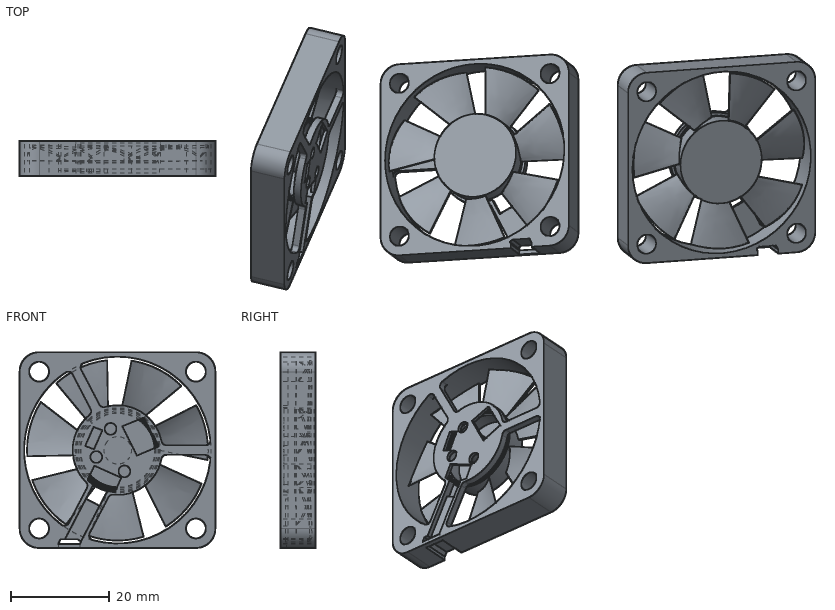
import cadquery as cq
import math


FRAME_SIDE = 40.0
FRAME_DEPTH = 7.2
CORNER_RADIUS = 4.0
MOUNT_HOLE_DIAMETER = 4.0
MOUNT_HOLE_OFFSET = 16.0
DUCT_RADIUS = 19.05

PLATE_RADIUS = 9.15
RIM_THICKNESS = 1.5
PLATE_THICKNESS = 0.7
PLATE_POCKET_RADIUS = 8.55
SPOKE_WIDTH = 2.0
SPOKE_ANGLES = (0.0, 117.5)
CABLE_SPOKE_ANGLE = 242.5
CABLE_SPOKE_SIDES = (-1.95, 2.8)
OPENING_FILLET = 1.0
POST_RADIUS = 2.8

CHANNEL_SIDES = (-1.1, 2.0)
CHANNEL_DEPTH = 1.0
CHANNEL_FLOOR_START = 11.75
EXIT_LEFT_SIDE = -1.9
EXIT_TOP = -18.25
EXIT_BOTTOM = -19.15
EXIT_CORNER_WIDTH = 0.9
EXIT_CORNER_HEIGHT = 0.45
EXIT_WALL_THICKNESS = 1.2

PIN_HOLE_DIAMETER = 2.4
PIN_HOLE_CIRCLE_RADIUS = 4.55
PIN_HOLE_ANGLES = (108.0, 198.0, 288.0)
LARGE_WINDOW = ((0.95, 4.9), (5.3, 6.6), (8.4, 0.75), (3.95, -1.1))
SMALL_WINDOW = ((-4.9, 4.7), (-3.1, 4.05), (-4.8, 0.15), (-6.6, 0.85))
CABLE_WINDOW = ((-4.7, -3.2), (0.75, -5.65), (-1.3, -10.3), (-7.15, -8.35))

CUP_RADIUS = 8.7
CUP_FRONT = 2.8
CUP_BACK = 6.8
CUP_FLOOR_THICKNESS = 0.6
CUP_FLOOR = CUP_BACK - CUP_FLOOR_THICKNESS
CUP_RIM_STEP_WIDTH = 0.3
CUP_RIM_STEP_DEPTH = 0.1
CUP_BORE_RADIUS = 7.7
CUP_BORE_CHAMFER = 0.3
CUP_FLOOR_RADIUS = 7.55

BLADE_COUNT = 7
BLADE_ANGLE = 63.1
BLADE_TIP_RADIUS = 18.5
BLADE_EDGE_THICKNESS = 0.1
BLADE_THICKNESS = 0.5
BLADE_ROOT_SECTION = (8.0, (-1.55, 5.5), (0.8, 4.5), (3.1, 3.05))
BLADE_OUTER_SECTION = (19.2, (-6.45, 6.0), (-0.15, 5.3), (6.15, 3.2))


def sketch_plane(y):
    """Workplane parallel to the front face at depth y; its local axes are X and Z."""
    return cq.Workplane("XZ", origin=(0, y, 0))


def prism(outline, start, end):
    return sketch_plane(start).polyline(outline).close().extrude(start - end)


def disc(radius, start, end):
    return sketch_plane(start).circle(radius).extrude(start - end)


def along_spoke(angle, distance, side):
    """Point at a distance out along a direction and a sideways offset counterclockwise from it."""
    a = math.radians(angle)
    return (
        distance * math.cos(a) - side * math.sin(a),
        distance * math.sin(a) + side * math.cos(a),
    )


def bar(angle, inner, outer, sides, start, end):
    """Straight bar running outward between two distances and two sideways offsets."""
    outline = [
        along_spoke(angle, inner, sides[0]),
        along_spoke(angle, outer, sides[0]),
        along_spoke(angle, outer, sides[1]),
        along_spoke(angle, inner, sides[1]),
    ]
    return prism(outline, start, end)


def cable_line_x(side, z):
    """X where a line parallel to the cable spoke, at a sideways offset, reaches height z."""
    a = math.radians(CABLE_SPOKE_ANGLE)
    distance = (z - side * math.cos(a)) / math.sin(a)
    return along_spoke(CABLE_SPOKE_ANGLE, distance, side)[0]


def make_air_openings():
    """The three filleted openings between the spokes, through the spoke thickness."""
    openings = disc(DUCT_RADIUS, 0, RIM_THICKNESS).cut(disc(PLATE_RADIUS, 0, RIM_THICKNESS))
    half = SPOKE_WIDTH / 2
    for angle in SPOKE_ANGLES:
        openings = openings.cut(bar(angle, 0, FRAME_SIDE, (-half, half), 0, RIM_THICKNESS))
    openings = openings.cut(
        bar(CABLE_SPOKE_ANGLE, 0, FRAME_SIDE, CABLE_SPOKE_SIDES, 0, RIM_THICKNESS)
    )
    return openings.edges("|Y").fillet(OPENING_FILLET)


def cut_plate_openings(frame):
    for window in (LARGE_WINDOW, SMALL_WINDOW):
        frame = frame.cut(prism(window, 0, PLATE_THICKNESS))
    cable_window = prism(CABLE_WINDOW, 0, PLATE_THICKNESS)
    frame = frame.cut(cable_window.intersect(disc(PLATE_POCKET_RADIUS, 0, PLATE_THICKNESS)))
    for angle in PIN_HOLE_ANGLES:
        x, z = along_spoke(angle, PIN_HOLE_CIRCLE_RADIUS, 0)
        hole = disc(PIN_HOLE_DIAMETER / 2, 0, PLATE_THICKNESS).translate((x, 0, z))
        frame = frame.cut(hole)
    return frame


def cut_cable_channel(frame):
    """Channel along the cable spoke: open through near the plate, floored further out."""
    through = bar(CABLE_SPOKE_ANGLE, 0, CHANNEL_FLOOR_START, CHANNEL_SIDES, 0, RIM_THICKNESS)
    through = through.cut(disc(PLATE_POCKET_RADIUS, 0, RIM_THICKNESS))
    groove = bar(CABLE_SPOKE_ANGLE, CHANNEL_FLOOR_START, FRAME_SIDE, CHANNEL_SIDES, 0, CHANNEL_DEPTH)
    above_exit = sketch_plane(0).rect(FRAME_SIDE, -2 * EXIT_BOTTOM).extrude(-CHANNEL_DEPTH)
    return frame.cut(through).cut(groove.intersect(above_exit))


def cut_cable_exit(frame):
    """Slot at the end of the channel that opens through the bottom wall behind a thin front wall."""
    left, right = EXIT_LEFT_SIDE, CHANNEL_SIDES[1]
    slot_top_right = cable_line_x(right, EXIT_TOP)
    corner_bottom = EXIT_TOP - EXIT_CORNER_HEIGHT
    slot_bottom_left = (cable_line_x(left, EXIT_BOTTOM), EXIT_BOTTOM)
    slot_bottom_right = (cable_line_x(right, EXIT_BOTTOM), EXIT_BOTTOM)
    slot = prism(
        [
            (cable_line_x(left, EXIT_TOP), EXIT_TOP),
            (slot_top_right - EXIT_CORNER_WIDTH, EXIT_TOP),
            (cable_line_x(right, corner_bottom), corner_bottom),
            slot_bottom_right,
            slot_bottom_left,
        ],
        0,
        FRAME_DEPTH,
    )
    frame_bottom = -FRAME_SIDE / 2
    notch = prism(
        [
            slot_bottom_left,
            slot_bottom_right,
            (slot_bottom_right[0], frame_bottom),
            (slot_bottom_left[0], frame_bottom),
        ],
        EXIT_WALL_THICKNESS,
        FRAME_DEPTH,
    )
    return frame.cut(slot).cut(notch)


def make_frame():
    frame = sketch_plane(0).rect(FRAME_SIDE, FRAME_SIDE).extrude(-FRAME_DEPTH)
    frame = frame.edges("|Y").fillet(CORNER_RADIUS)
    mount_holes = (
        sketch_plane(0)
        .rect(2 * MOUNT_HOLE_OFFSET, 2 * MOUNT_HOLE_OFFSET, forConstruction=True)
        .vertices()
        .circle(MOUNT_HOLE_DIAMETER / 2)
        .extrude(-FRAME_DEPTH)
    )
    frame = frame.cut(mount_holes)
    frame = frame.cut(disc(DUCT_RADIUS, RIM_THICKNESS, FRAME_DEPTH))
    frame = frame.cut(disc(PLATE_POCKET_RADIUS, PLATE_THICKNESS, RIM_THICKNESS))
    frame = frame.cut(make_air_openings())
    frame = cut_plate_openings(frame)
    frame = cut_cable_channel(frame)
    frame = cut_cable_exit(frame)
    return frame.union(disc(POST_RADIUS, PLATE_THICKNESS, CUP_FLOOR))


def make_cup():
    """Cup open to the front, with a chamfered, tapered bore and a rim stepped down inside."""
    step_radius = CUP_RADIUS - CUP_RIM_STEP_WIDTH
    step_face = CUP_FRONT + CUP_RIM_STEP_DEPTH
    profile = [
        (0, CUP_BACK),
        (CUP_RADIUS, CUP_BACK),
        (CUP_RADIUS, CUP_FRONT),
        (step_radius, CUP_FRONT),
        (step_radius, step_face),
        (CUP_BORE_RADIUS + CUP_BORE_CHAMFER, step_face),
        (CUP_BORE_RADIUS, step_face + CUP_BORE_CHAMFER),
        (CUP_FLOOR_RADIUS, CUP_FLOOR),
        (0, CUP_FLOOR),
    ]
    return cq.Workplane("XY").polyline(profile).close().revolve(360, (0, 0, 0), (0, 1, 0))


def blade_section(distance, *front_points):
    """Closed wire of a cambered blade section in a plane facing +X, drawn in Y and Z."""
    thicknesses = (BLADE_THICKNESS, BLADE_THICKNESS, BLADE_EDGE_THICKNESS)
    front = [cq.Vector(distance, depth, side) for side, depth in front_points]
    back = [point + cq.Vector(0, t, 0) for point, t in zip(front, thicknesses)]
    return cq.Wire.assembleEdges([
        cq.Edge.makeThreePointArc(*front),
        cq.Edge.makeLine(front[-1], back[-1]),
        cq.Edge.makeThreePointArc(*reversed(back)),
        cq.Edge.makeLine(back[0], front[0]),
    ])


def make_blade():
    """One blade along +X, trimmed to the tip radius."""
    sections = [blade_section(*BLADE_ROOT_SECTION), blade_section(*BLADE_OUTER_SECTION)]
    blade = cq.Workplane(cq.Solid.makeLoft(sections, True))
    return blade.intersect(disc(BLADE_TIP_RADIUS, 0, FRAME_DEPTH))


def make_rotor():
    rotor = make_cup()
    blade = make_blade()
    for index in range(BLADE_COUNT):
        angle = BLADE_ANGLE + index * 360 / BLADE_COUNT
        rotor = rotor.union(blade.rotate((0, 0, 0), (0, -1, 0), angle))
    return rotor


frame = make_frame()
rotor = make_rotor()
result = cq.Compound.makeCompound([frame.solids().val(), rotor.solids().val()])